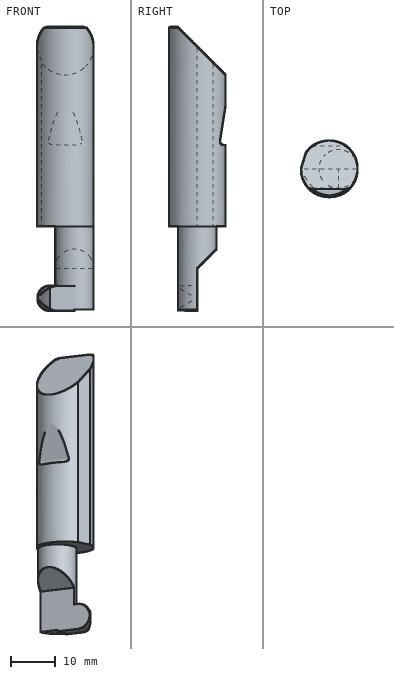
import cadquery as cq
import math

length = 63.4
shank_radius = 6.35
shank_bottom = 18.9

end_land_y = -4.45
rim_bevel_width = 0.45
rim_bevel_height = 0.25

side_flat_y = 3.55
notch_bottom = 37.0
notch_top = 45.75
notch_depth = 1.25
notch_radius = 0.8

neck_radius = 4.3
neck_x = shank_radius - neck_radius
neck_bottom = 0.3
relief_top = 13.8

nose_radius = 2.85
nose_left = -6.2
nose_back_radius = 2.7
nose_back_x = -1.95
heel_start_y = -0.2
heel_end_x = -3.4


def make_shank():
    body = (
        cq.Workplane("XY")
        .workplane(offset=shank_bottom)
        .circle(shank_radius)
        .extrude(length - shank_bottom)
    )
    rim = (
        cq.Workplane("XZ")
        .moveTo(shank_radius - rim_bevel_width, length)
        .lineTo(shank_radius, length)
        .lineTo(shank_radius, length - rim_bevel_height)
        .close()
        .revolve(360, (0, 0), (0, 1))
    )
    return body.cut(rim)


def make_end_cut():
    run = shank_radius - end_land_y
    return (
        cq.Workplane("YZ")
        .moveTo(end_land_y, length)
        .lineTo(shank_radius, length - run)
        .lineTo(shank_radius, length)
        .close()
        .extrude(shank_radius, both=True)
    )


def make_side_flat_cut():
    flat_x = -math.sqrt(shank_radius**2 - side_flat_y**2)
    return (
        cq.Workplane("XY")
        .moveTo(-shank_radius, 0)
        .lineTo(flat_x, side_flat_y)
        .lineTo(-shank_radius, side_flat_y)
        .close()
        .extrude(length)
    )


def make_notch():
    floor_y = shank_radius - notch_depth
    return (
        cq.Workplane("YZ")
        .moveTo(shank_radius, notch_top)
        .lineTo(floor_y, notch_bottom + notch_radius)
        .radiusArc((floor_y + notch_radius, notch_bottom), -notch_radius)
        .lineTo(shank_radius, notch_bottom)
        .close()
        .extrude(shank_radius, both=True)
    )


def make_neck():
    neck = (
        cq.Workplane("XY")
        .workplane(offset=neck_bottom)
        .center(neck_x, 0)
        .circle(neck_radius)
        .extrude(shank_bottom - neck_bottom)
    )
    relief = (
        cq.Workplane("YZ")
        .moveTo(0, 0)
        .lineTo(0, relief_top - neck_radius)
        .lineTo(neck_radius, relief_top)
        .lineTo(neck_radius, 0)
        .close()
        .extrude(2 * shank_radius, both=True)
    )
    return neck.cut(relief)


def nose_outline(plane, center_x, radius):
    return (
        plane.moveTo(neck_x, nose_radius - radius)
        .lineTo(neck_x, nose_radius + radius)
        .lineTo(center_x, nose_radius + radius)
        .threePointArc((center_x - radius, nose_radius), (center_x, nose_radius - radius))
        .close()
    )


def make_nose():
    front = nose_outline(cq.Workplane("XZ"), nose_left + nose_radius, nose_radius)
    nose = nose_outline(front.workplane(offset=neck_radius), nose_back_x, nose_back_radius)
    nose = nose.loft(ruled=True)
    recession = (nose_back_x - nose_back_radius - nose_left) / neck_radius
    start = cq.Vector(nose_left - recession * heel_start_y, heel_start_y, 0)
    end = cq.Vector(heel_end_x, -neck_radius, 0)
    arc = cq.Edge.makeTangentArc(start, cq.Vector(recession, -1, 0), end)
    middle = arc.positionAt(0.5)
    heel = (
        cq.Workplane("XY")
        .moveTo(start.x, start.y)
        .threePointArc((middle.x, middle.y), (end.x, end.y))
        .lineTo(nose_left, -neck_radius)
        .lineTo(nose_left, heel_start_y)
        .close()
        .extrude(2 * nose_radius)
    )
    return nose.cut(heel)


shank = make_shank().cut(make_end_cut()).cut(make_side_flat_cut()).cut(make_notch())
result = shank.union(make_neck()).union(make_nose())